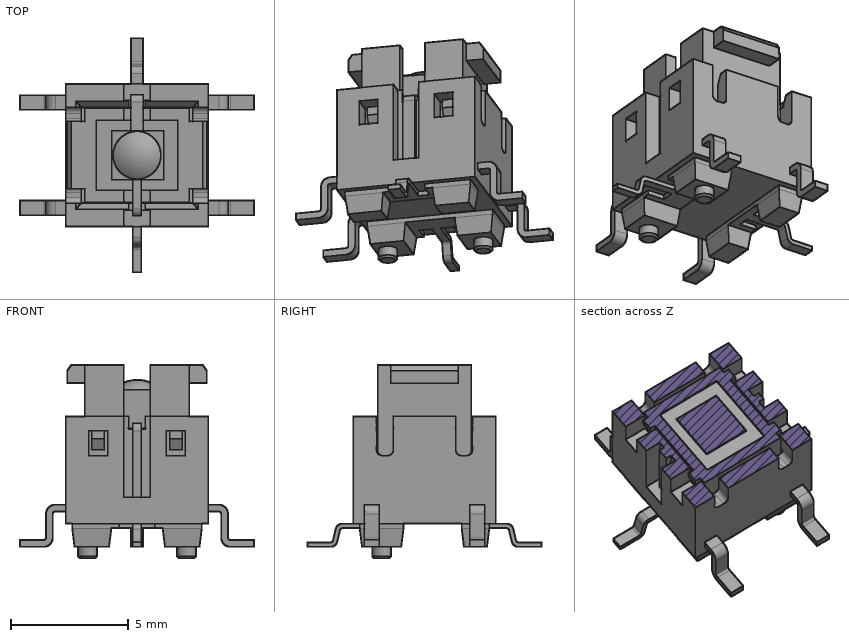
import cadquery as cq
import math

overall_half = 5.0

body_side = 6.1
body_bottom = 1.0
body_top = 5.58
cavity_floor = 2.12
cavity_length = 4.74
cavity_width = 4.06
bevel_length = 5.22
bevel_width = 4.61
bevel_depth = 0.5

side_slot_inner = 1.33
side_slot_outer = 2.04
side_slot_bottom = 3.9
side_slot_radius = 0.25

groove_width = 1.11
groove_floor_y = 2.34
notch_width = 0.71
window_x = 1.66
window_width = 0.82
window_bottom = 3.89
window_top = 4.97

plunger_length = 4.47
plunger_width = 4.0
plunger_top = 7.77
plunger_slot_bottom = 5.06
plunger_bore_bottom = 4.82
plunger_bore_length = 3.48
plunger_bore_width = 2.98
lip_reach = 2.98
lip_width = 2.88
lip_height = 0.78
lip_chamfer_run = 0.17
lip_chamfer_drop = 0.24

hook_width = 0.54
hook_reach = 0.25
hook_bottom = 4.16
hook_slope_top = 4.61

led_length = 2.22
led_shift = 0.04
led_width = 2.09
led_top = 6.72
dome_radius = 1.02
dome_height = 0.42
wire_thickness = 0.25
wire_top = 5.28
wire_underside = wire_top - wire_thickness
wire_outer_y = groove_floor_y + wire_thickness
wire_bend_outer = 0.31
wire_bend_inner = wire_bend_outer - wire_thickness
front_wire_width = 0.38
rear_wire_width = 0.52

side_lead_y = 2.25
side_lead_width = 0.64
side_lead_top = 1.81
side_lead_thickness = 0.3
side_lead_shoulder = 3.89
side_lead_bend = 90.0
end_lead_thickness = 0.2
end_lead_shoulder = 3.74
end_lead_bend = 76.5
lead_bend_inner = 0.1
lead_overlap = 0.1

pad_reach = 2.77
pad_height = 0.2
pad_notch_width = 1.52
pad_notch_depth = 0.8
leg_inner_x = 1.09
front_leg_inner_y = 0.89
rear_leg_inner_y = 1.58
leg_taper = 0.1
peg_x = 2.11
peg_radius = 0.41
peg_length = 0.49
peg_chamfer = 0.09


def block(x_range, y_range, z_range):
    """Axis-aligned box given by its limits along each axis."""
    (x0, x1), (y0, y1), (z0, z1) = x_range, y_range, z_range
    return cq.Workplane("XY").box(x1 - x0, y1 - y0, z1 - z0, centered=False).translate((x0, y0, z0))


def centred_block(length, width, bottom, top):
    """Box centred on the Z axis."""
    return block((-length / 2, length / 2), (-width / 2, width / 2), (bottom, top))


def turned(shape, angle):
    """Rotate a shape about the Z axis."""
    return shape.rotate((0, 0, 0), (0, 0, 1), angle)


def strip(points, width, bends):
    """Extrude an XZ outline symmetrically in Y and round its corners; bends holds (corner, radius)."""
    solid = cq.Workplane("XZ").polyline(points).close().extrude(width / 2, both=True)
    for (x, z), radius in bends:
        solid = solid.edges(cq.selectors.NearestToPointSelector((x, 0, z))).fillet(radius)
    return solid


def housing():
    """Open box with bevelled mouth, side slots, grooves, notches and windows."""
    body = centred_block(body_side, body_side, body_bottom, body_top)
    body = body.cut(centred_block(cavity_length, cavity_width, cavity_floor, body_top))
    bevel = (
        cq.Workplane("XY", origin=(0, 0, body_top - bevel_depth))
        .rect(cavity_length, cavity_width)
        .workplane(offset=bevel_depth)
        .rect(bevel_length, bevel_width)
        .loft(ruled=True)
    )
    body = body.cut(bevel)

    side_slot = block(
        (-body_side / 2, body_side / 2),
        (side_slot_inner, side_slot_outer),
        (side_slot_bottom, body_top),
    )
    side_slot = side_slot.edges("|X and <Z").fillet(side_slot_radius)
    groove = block(
        (-groove_width / 2, groove_width / 2),
        (groove_floor_y, body_side / 2),
        (cavity_floor, body_top),
    )
    for turn in (0, 180):
        body = body.cut(turned(side_slot, turn))
        body = body.cut(turned(groove, turn))
    body = body.cut(centred_block(notch_width, body_side, wire_underside, body_top))

    window = centred_block(window_width, body_side, window_bottom, window_top)
    for side in (-1, 1):
        body = body.cut(window.translate((side * window_x, 0, 0)))
    return body


def hook():
    """Latch hook on the -Y face of the plunger, with a sloped underside."""
    root = -plunger_width / 2
    tip = root - hook_reach
    outline = [(root, hook_bottom), (root, window_top), (tip, window_top), (tip, hook_slope_top)]
    return cq.Workplane("YZ").polyline(outline).close().extrude(hook_width / 2, both=True)


def plunger():
    """Hollow frame standing on the cavity floor, with lips, bore, wire slot and hooks."""
    frame = centred_block(plunger_length, plunger_width, cavity_floor, plunger_top)
    lip_outline = [
        (-lip_reach, plunger_top - lip_height),
        (-lip_reach, plunger_top - lip_chamfer_drop),
        (-lip_reach + lip_chamfer_run, plunger_top),
        (lip_reach - lip_chamfer_run, plunger_top),
        (lip_reach, plunger_top - lip_chamfer_drop),
        (lip_reach, plunger_top - lip_height),
    ]
    frame = frame.union(strip(lip_outline, lip_width, []))
    frame = frame.cut(centred_block(plunger_bore_length, plunger_bore_width, plunger_bore_bottom, plunger_top))
    frame = frame.cut(centred_block(groove_width, plunger_width, plunger_slot_bottom, plunger_top))
    for turn in (0, 180):
        for side in (-1, 1):
            latch = hook().translate((side * window_x, 0, 0))
            frame = frame.union(turned(latch, turn))
    return frame


def light_source():
    """Square block with a shallow spherical lens on top."""
    led = centred_block(led_length, led_width, plunger_bore_bottom, led_top)
    led = led.translate((led_shift, 0, 0))
    bulge = dome_radius / 2
    sphere_radius = (dome_radius**2 + dome_height**2) / (2 * dome_height)
    sphere_z = led_top + dome_height - sphere_radius
    bulge_z = sphere_z + math.sqrt(sphere_radius**2 - bulge**2)
    dome = (
        cq.Workplane("XZ")
        .moveTo(0, led_top)
        .lineTo(dome_radius, led_top)
        .threePointArc((bulge, bulge_z), (0, led_top + dome_height))
        .close()
        .revolve(360, (0, 0, 0), (0, 1, 0))
    )
    return led.union(dome)


def wire(width):
    """Wire of the light source along +X: out through the notch and down to the groove floor."""
    inner = wire_outer_y - wire_thickness
    points = [
        (0, wire_top),
        (wire_outer_y, wire_top),
        (wire_outer_y, cavity_floor),
        (inner, cavity_floor),
        (inner, wire_underside),
        (0, wire_underside),
    ]
    bends = [(points[1], wire_bend_outer), (points[4], wire_bend_inner)]
    return strip(points, width, bends)


def lead(start, shoulder, top, thickness, width, bend_angle):
    """Gull-wing lead along +X, bent down by bend_angle and back to a flat foot at Z = 0."""
    angle = math.radians(bend_angle)
    corner_shift = thickness * math.tan(angle / 2)
    heel = shoulder + (top - thickness) / math.tan(angle)
    points = [
        (start, top),
        (shoulder, top),
        (heel, thickness),
        (overall_half, thickness),
        (overall_half, 0),
        (heel - corner_shift, 0),
        (shoulder - corner_shift, top - thickness),
        (start, top - thickness),
    ]
    outer = lead_bend_inner + thickness
    bends = [
        (points[1], outer),
        (points[2], lead_bend_inner),
        (points[5], outer),
        (points[6], lead_bend_inner),
    ]
    return strip(points, width, bends)


def standoff(leg_inner_y):
    """Pad with two tapered legs on the +Y side, notched for the end lead."""
    leg_top = body_bottom - pad_height
    pad = block((-pad_reach, pad_reach), (leg_inner_y, pad_reach), (leg_top, body_bottom))
    pad = pad.cut(
        block(
            (-pad_notch_width / 2, pad_notch_width / 2),
            (pad_reach - pad_notch_depth, pad_reach),
            (leg_top, body_bottom),
        )
    )
    leg_length = pad_reach - leg_inner_x
    leg_width = pad_reach - leg_inner_y
    leg_y = (pad_reach + leg_inner_y) / 2
    for side in (-1, 1):
        leg_x = side * (pad_reach + leg_inner_x) / 2
        leg = (
            cq.Workplane("XY", origin=(leg_x, leg_y, 0))
            .rect(leg_length - 2 * leg_taper, leg_width - 2 * leg_taper)
            .workplane(offset=leg_top)
            .rect(leg_length, leg_width)
            .loft(ruled=True)
        )
        pad = pad.union(leg)
    return pad


def peg():
    """Locating peg below a front leg."""
    peg_y = -(pad_reach + front_leg_inner_y) / 2
    return (
        cq.Workplane("XY", origin=(0, peg_y, -peg_length))
        .circle(peg_radius)
        .extrude(peg_length)
        .faces("<Z")
        .chamfer(peg_chamfer)
    )


result = housing().union(plunger()).union(light_source())

front_turn, rear_turn = -90, 90
for turn, width in ((front_turn, front_wire_width), (rear_turn, rear_wire_width)):
    end_lead = lead(
        pad_reach - pad_notch_depth,
        end_lead_shoulder,
        body_bottom,
        end_lead_thickness,
        width,
        end_lead_bend,
    )
    result = result.union(turned(wire(width), turn)).union(turned(end_lead, turn))

side_lead = lead(
    body_side / 2 - lead_overlap,
    side_lead_shoulder,
    side_lead_top,
    side_lead_thickness,
    side_lead_width,
    side_lead_bend,
)
for turn in (0, 180):
    for side in (-1, 1):
        result = result.union(turned(side_lead.translate((0, side * side_lead_y, 0)), turn))

result = result.union(standoff(rear_leg_inner_y))
result = result.union(turned(standoff(front_leg_inner_y), 180))
for side in (-1, 1):
    result = result.union(peg().translate((side * peg_x, 0, 0)))